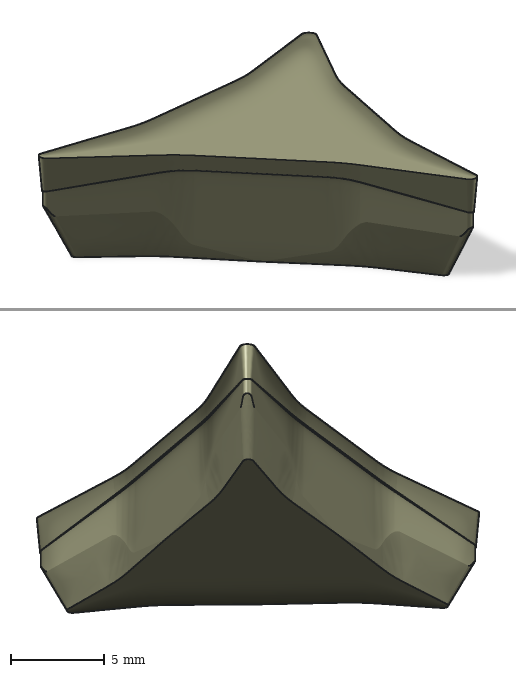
import cadquery as cq
import math


SIDES = 3
SIDE_STEP = 360 / SIDES
TIP_DIRECTION = 120

height = 6.0
overall_length = 23.8
bend_position = 4.52
bend_angle = 12.5
bend_tangent = 0.88

rim_distance = 5.52
rim_end_radius = 0.43
rim_reach = rim_end_radius + (overall_length / 2 - rim_end_radius) / math.sin(math.radians(TIP_DIRECTION))
rim_draft = 5.0
rim_bottom = 3.33

ledge_height = 5.1
ledge_drop = 4.5
ledge_drop_length = 29.0

wall_distance = 5.33
wall_reach = 13.45
wall_top = height - 0.24

waist_height = 2.65
lean_angle = 4.0
ridge_slope = 0.85
base_bend_position = 5.57
waist_bend_position = 5.0
base_bend_angle = 10.3
waist_bend_angle = 12.0
base_bend_tangent = 0.93
waist_bend_tangent = 0.8
base_reach = 11.78
waist_reach = 13.19


def polar(radius, angle):
    """Point at a radius and an angle in degrees."""
    return radius * math.cos(math.radians(angle)), radius * math.sin(math.radians(angle))


def shifted(start, length, angle):
    """Point at a length from a start point in a direction in degrees."""
    step = polar(length, angle)
    return start[0] + step[0], start[1] + step[1]


def turned(point, angle):
    """Point turned about the central axis."""
    return polar(math.hypot(*point), math.degrees(math.atan2(point[1], point[0])) + angle)


def mirrored(point):
    """Point on the other side of the X axis."""
    return point[0], -point[1]


def bend_arc(corner, tangent, way_in, way_out):
    """Start, middle and end of the arc that rounds a corner between two directions."""
    turn = way_out - way_in
    sag = tangent * math.tan(math.radians(turn / 4))
    middle = shifted(corner, sag, (way_in + way_out) / 2 + 90)
    return shifted(corner, -tangent, way_in), middle, shifted(corner, tangent, way_out)


def arm_end_circle(corner, angle, reach):
    """Centre and radius of the arc that touches both edges of an arm and ends at reach."""
    x, y = turned(corner, -TIP_DIRECTION)
    half_angle = math.radians(SIDE_STEP / 4 - angle)
    apex = x + y / math.tan(half_angle)
    radius = (apex - reach) / (1 / math.sin(half_angle) - 1)
    return polar(reach - radius, TIP_DIRECTION), radius


def star_wire(z, distance, position, angle, tangent, reach, ridge=0.0):
    """Closed three-armed outline; a ridge angle folds each flat at its middle."""
    corner = (position * math.tan(math.radians(ridge)) - distance, position)
    arm_direction = 90 + angle
    flat_end, bend_middle, arm_start = bend_arc(corner, tangent, 90 - ridge, arm_direction)

    centre, radius = arm_end_circle(corner, angle, reach)
    arm_end = shifted(centre, radius, arm_direction + 90)
    tip = polar(reach, TIP_DIRECTION)

    outline = cq.Workplane("XY", origin=(0, 0, z)).moveTo(*mirrored(arm_end))
    for side in range(SIDES):
        def place(point, side=side):
            return turned(point, -SIDE_STEP * side)

        outline = outline.lineTo(*place(mirrored(arm_start)))
        outline = outline.threePointArc(place(mirrored(bend_middle)), place(mirrored(flat_end)))
        if ridge:
            outline = outline.lineTo(*place((-distance, 0)))
        outline = outline.lineTo(*place(flat_end))
        outline = outline.threePointArc(place(bend_middle), place(arm_start))
        outline = outline.lineTo(*place(arm_end))
        next_arm_end = turned(mirrored(arm_end), -SIDE_STEP * (side + 1))
        outline = outline.threePointArc(place(tip), next_arm_end)
    return outline.close().val()


def ruled_solid(bottom_wire, top_wire):
    """Solid with straight-line sides between two outlines."""
    return cq.Workplane(cq.Solid.makeLoft([bottom_wire, top_wire], True))


def rim_wire(z):
    """Rim outline, set in evenly by the draft."""
    inset = (height - z) * math.tan(math.radians(rim_draft))
    corner_shift = inset * math.tan(math.radians(bend_angle / 2))
    return star_wire(z, rim_distance - inset, bend_position + corner_shift, bend_angle,
                     bend_tangent + corner_shift, rim_reach - inset)


def above_ledge():
    """Space above the ledge, one wedge per side."""
    far = 2 * rim_reach
    corner = (bend_position, ledge_height)
    fall_direction = -math.degrees(math.atan2(ledge_drop, ledge_drop_length))
    flat_end, bend_middle, fall_start = bend_arc(corner, bend_tangent, 0, fall_direction)
    fall_end = shifted(corner, far, fall_direction)

    slab = (cq.Workplane("YZ").moveTo(*flat_end)
            .threePointArc(bend_middle, fall_start).lineTo(*fall_end)
            .lineTo(fall_end[0], 2 * height).lineTo(0, 2 * height).lineTo(0, ledge_height)
            .close().extrude(-far))
    slab = slab.union(slab.mirror("XZ"))
    wedge_tip = polar(far, TIP_DIRECTION)
    wedge = (cq.Workplane("XY", origin=(0, 0, -far))
             .polyline([(0, 0), wedge_tip, mirrored(wedge_tip)]).close().extrude(2 * far))
    piece = slab.intersect(wedge)
    space = piece
    for side in range(1, SIDES):
        space = space.union(piece.rotate((0, 0, 0), (0, 0, 1), SIDE_STEP * side))
    return space


def lower_wire(z):
    """Outline of the leaning faces, changing steadily with height."""
    share = z / waist_height

    def blend(base, waist):
        return base + (waist - base) * share

    return star_wire(z, wall_distance + z * math.tan(math.radians(lean_angle)),
                     blend(base_bend_position, waist_bend_position),
                     blend(base_bend_angle, waist_bend_angle),
                     blend(base_bend_tangent, waist_bend_tangent),
                     blend(base_reach, waist_reach), ridge_slope)


rim = ruled_solid(rim_wire(rim_bottom), rim_wire(height)).intersect(above_ledge())

wall_wire = star_wire(0, wall_distance, bend_position, bend_angle, bend_tangent, wall_reach)
wall = cq.Workplane(cq.Solid.extrudeLinear(wall_wire, [], cq.Vector(0, 0, wall_top)))
trimmed_wall = wall.intersect(ruled_solid(lower_wire(0), lower_wire(wall_top)))

result = rim.union(trimmed_wall)